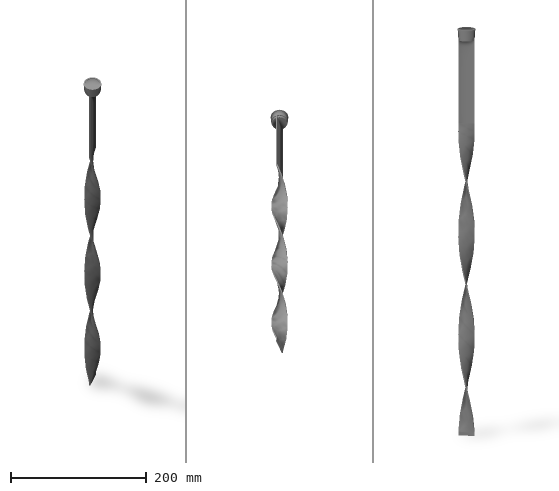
import cadquery as cq

total_length = 614.0
twist_top_depth = 142.5
tail_length = 5.5

strip_width = 24.3
strip_thickness = 2.0
half_turns = 3
twist_angle = -180.0 * half_turns

flange_diameter = 26.0
flange_thickness = 2.0
body_diameter = 24.5
body_depth = 13.0
spigot_diameter = 22.0
cap_height = 17.0
recess_diameter = 22.0
recess_depth = 1.0

seal_top_depth = 9.5
seal_height = 2.0
seal_section = 1.5

cap_bottom = total_length - cap_height
shoulder = total_length - body_depth
twist_top = total_length - twist_top_depth
twist_height = twist_top - tail_length
seal_bottom = total_length - seal_top_depth - seal_height


def disc(diameter, bottom, height):
    """Upright cylinder on the Z axis."""
    return cq.Workplane("XY").workplane(offset=bottom).circle(diameter / 2).extrude(height)


def strip_profile(height):
    """Rectangular cross-section of the strip, broad along Y."""
    return cq.Workplane("XY").workplane(offset=height).rect(strip_thickness, strip_width)


def make_strip():
    """Straight tail, twisted length and straight shank that ends against the cap's shoulder."""
    tail = strip_profile(0).extrude(tail_length)
    twisted = strip_profile(tail_length).twistExtrude(twist_height, twist_angle)
    shank = strip_profile(twist_top).extrude(shoulder - twist_top)
    return tail.union(twisted).union(shank)


def make_seal():
    """Ring of rectangular section seated in the cap's groove."""
    ring = disc(body_diameter, seal_bottom, seal_height)
    return ring.cut(disc(body_diameter - 2 * seal_section, seal_bottom, seal_height))


def make_cap(seal):
    """Flanged plug with a shallow top recess, a seal groove and a slot for the strip."""
    cap = disc(flange_diameter, total_length - flange_thickness, flange_thickness)
    cap = cap.union(disc(body_diameter, shoulder, body_depth))
    cap = cap.union(disc(spigot_diameter, cap_bottom, shoulder - cap_bottom))
    cap = cap.cut(disc(recess_diameter, total_length - recess_depth, recess_depth))
    slot = strip_profile(cap_bottom).extrude(shoulder - cap_bottom)
    return cap.cut(slot).cut(seal)


strip = make_strip()
seal = make_seal()
cap = make_cap(seal)

result = cq.Compound.makeCompound([strip.val(), seal.val(), cap.val()])